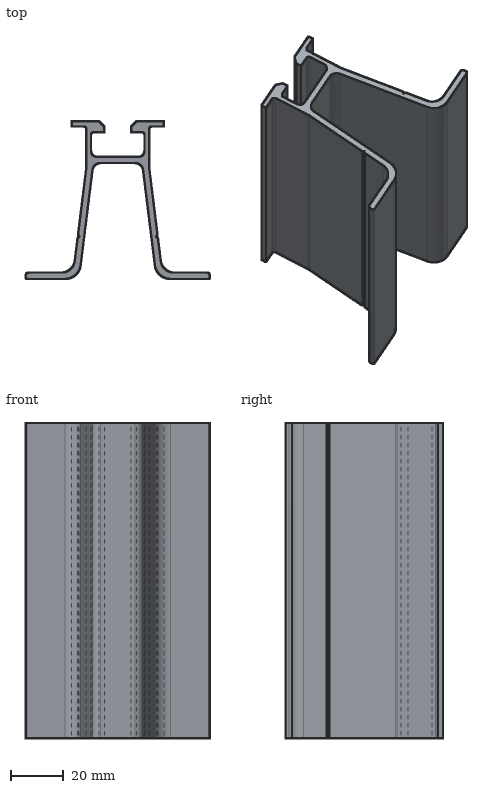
import cadquery as cq
import math

length = 120.0
depth = 60.0
half_width = 70.0 / 2

foot_thickness = 2.5
foot_tip_radius = 1.1
foot_edge_radius = 0.5
leg_thickness = 2.5
leg_angle = math.radians(7.1)
bend_inner_radius = 5.0
bend_outer_radius = 6.0

neck_half_width = 12.0
neck_height = 17.8
neck_bend_radius = 4.8
channel_half_width = 10.1
channel_depth = 13.5
web_thickness = 2.5
channel_floor_radius = 2.0
web_underside_radius = 3.0

flange_half_width = 17.5
flange_thickness = 2.0
flange_root_radius = 1.0
mouth_half_width = 5.0
lip_thickness = 4.2
lip_chamfer = 2.0
lip_root_radius = 1.0

groove_y = 16.2
groove_width = 1.2
groove_depth = 0.6

neck_bottom = depth - neck_height
channel_floor = depth - channel_depth
web_underside = channel_floor - web_thickness
flange_underside = depth - flange_thickness
lip_underside = depth - lip_thickness


def leg_outside(y):
    """X of the outer face of the right leg at height y."""
    return neck_half_width + (neck_bottom - y) * math.tan(leg_angle)


def leg_inside(y):
    """X of the inner face of the right leg at height y."""
    return leg_outside(y) - leg_thickness / math.cos(leg_angle)


def right_half():
    """Right half of the rail, extruded with sharp corners and then rounded."""
    foot_tip = (half_width, foot_thickness)
    foot_edge = (half_width, 0)
    bend_inner = (leg_outside(foot_thickness), foot_thickness)
    bend_outer = (leg_inside(0), 0)
    neck_bend = (neck_half_width, neck_bottom)
    flange_root = (neck_half_width, flange_underside)
    lip_root = (channel_half_width, lip_underside)
    channel_corner = (channel_half_width, channel_floor)
    web_corner = (leg_inside(web_underside), web_underside)

    outline = [
        (0, web_underside),
        web_corner,
        bend_outer,
        foot_edge,
        foot_tip,
        bend_inner,
        neck_bend,
        flange_root,
        (flange_half_width, flange_underside),
        (flange_half_width, depth),
        (mouth_half_width + lip_chamfer, depth),
        (mouth_half_width, depth - lip_chamfer),
        (mouth_half_width, lip_underside),
        lip_root,
        channel_corner,
        (0, channel_floor),
    ]
    rounded_corners = [
        (web_corner, web_underside_radius),
        (bend_outer, bend_outer_radius),
        (foot_tip, foot_tip_radius),
        (foot_edge, foot_edge_radius),
        (bend_inner, bend_inner_radius),
        (neck_bend, neck_bend_radius),
        (flange_root, flange_root_radius),
        (lip_root, lip_root_radius),
        (channel_corner, channel_floor_radius),
    ]
    body = cq.Workplane("XY").polyline(outline).close().extrude(length)
    for (x, y), radius in rounded_corners:
        long_edge = cq.selectors.NearestToPointSelector((x, y, length / 2))
        body = body.edges("|Z").edges(long_edge).fillet(radius)
    return body


def leg_groove():
    """V-shaped cutter along the outer face of the right leg."""
    upper_y = groove_y + groove_width / 2
    lower_y = groove_y - groove_width / 2
    outline = [
        (leg_outside(upper_y), upper_y),
        (leg_outside(groove_y) - groove_depth, groove_y),
        (leg_outside(lower_y), lower_y),
    ]
    return cq.Workplane("XY").polyline(outline).close().extrude(length)


half = right_half().cut(leg_groove())
result = half.union(half.mirror("YZ")).clean()